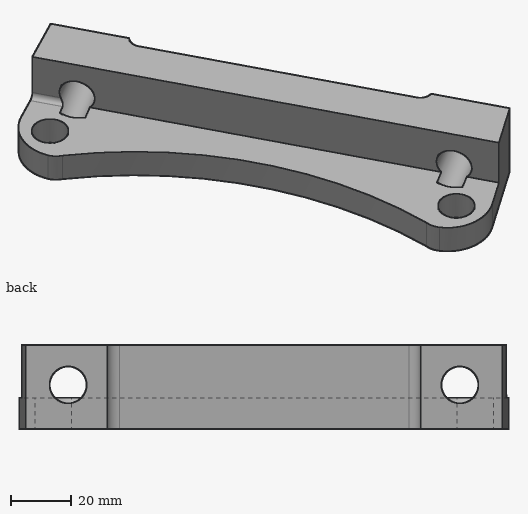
import cadquery as cq
import math

height = 28.0
plate_thickness = 10.4
wall_thickness = 17.9

back_half_width = 79.2
side_end = (81.3, -28.8)
ear_tip = (67.5, -45.0)
ear_inner_end = (62.7, -43.9)
front_arc_apex_y = -29.9

relief_depth = 3.1
relief_half_length = 52.0
relief_corner_radius = 4.0

mount_hole_diameter = 12.2
mount_hole_x = 70.0
mount_hole_y = -33.0

cross_hole_radius = 6.1
cross_hole_x = 65.0
cross_hole_z = 14.6
cross_hole_depth = 23.2
drill_point_angle = 118

foot_fillet_radius = 2.0


def half_plan():
    """Outline of the positive-X half, closed along the symmetry plane."""
    return (
        cq.Workplane("XY")
        .lineTo(back_half_width, 0)
        .lineTo(*side_end)
        .tangentArcPoint(ear_tip, relative=False)
        .tangentArcPoint(ear_inner_end, relative=False)
        .threePointArc((0, front_arc_apex_y), (-ear_inner_end[0], ear_inner_end[1]))
        .lineTo(-ear_inner_end[0], 0)
        .close()
    )


def full_block():
    half = half_plan().extrude(height)
    return half.union(half.mirror("YZ"))


def space_above_plate():
    """Space in front of the wall, with the short fillet left at its left foot."""
    width = 4 * back_half_width
    depth = width
    space = (
        cq.Workplane("XY", origin=(0, -wall_thickness, plate_thickness))
        .box(width, depth, height, centered=(True, False, False))
        .translate((0, -depth, 0))
    )
    r = foot_fillet_radius
    arc_middle = r * (1 - math.sqrt(0.5))
    fillet = (
        cq.Workplane("YZ", origin=(-cross_hole_x, -wall_thickness, plate_thickness))
        .lineTo(-r, 0)
        .threePointArc((-arc_middle, arc_middle), (0, r))
        .close()
        .extrude(-width)
    )
    return space.cut(fillet)


def back_relief():
    """Shallow relief whose ends curve up from its floor to the back face."""
    run = math.sqrt(relief_corner_radius**2 - (relief_corner_radius - relief_depth) ** 2)
    floor_half_length = relief_half_length - run
    half_angle = math.asin(run / relief_corner_radius) / 2
    middle_x = floor_half_length + relief_corner_radius * math.sin(half_angle)
    middle_y = -relief_depth + relief_corner_radius * (1 - math.cos(half_angle))
    return (
        cq.Workplane("XY")
        .moveTo(-floor_half_length, -relief_depth)
        .lineTo(floor_half_length, -relief_depth)
        .threePointArc((middle_x, middle_y), (relief_half_length, 0))
        .lineTo(-relief_half_length, 0)
        .threePointArc((-middle_x, middle_y), (-floor_half_length, -relief_depth))
        .close()
        .extrude(height)
    )


def cross_hole(x):
    """Blind drilled hole running forward from the back face."""
    tip_length = cross_hole_radius / math.tan(math.radians(drill_point_angle / 2))
    return (
        cq.Workplane("XY")
        .lineTo(cross_hole_radius, 0)
        .lineTo(cross_hole_radius, -cross_hole_depth)
        .lineTo(0, -cross_hole_depth - tip_length)
        .close()
        .revolve(360, (0, 0, 0), (0, 1, 0))
        .translate((x, 0, cross_hole_z))
    )


result = full_block().cut(space_above_plate()).cut(back_relief())

for side in (-1, 1):
    mount_hole = (
        cq.Workplane("XY")
        .center(side * mount_hole_x, mount_hole_y)
        .circle(mount_hole_diameter / 2)
        .extrude(plate_thickness)
    )
    result = result.cut(mount_hole).cut(cross_hole(side * cross_hole_x))